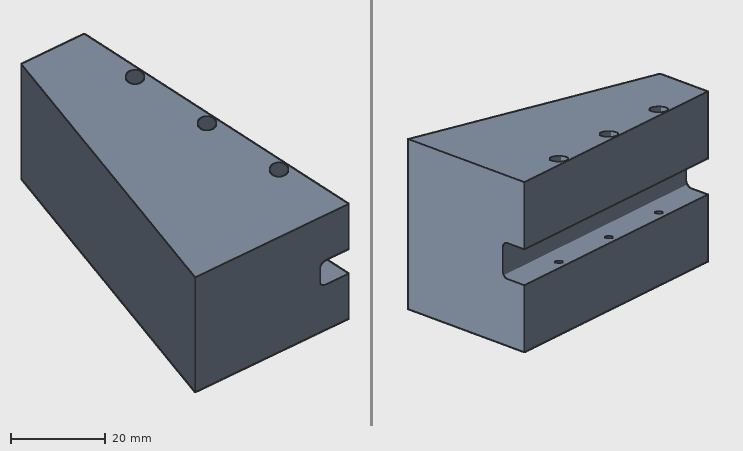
import cadquery as cq
import math

length = 69.85
depth_large = 38.55
height = 38.1
slope_angle = 18.0

slot_width = 8.0
slot_depth = 6.85
slot_corner_radius = 1.55

hole_count = 3
hole_spacing = 20.0
hole_inset = 2.3
clearance_diameter = 4.0
pilot_diameter = 1.7

slope_gradient = math.tan(math.radians(slope_angle))
slope_cos = math.cos(math.radians(slope_angle))
depth_small = depth_large - length * slope_gradient
slot_floor_z = (height - slot_width) / 2


def make_wedge():
    outline = [(0, 0), (length, 0), (length, depth_large), (0, depth_small)]
    return cq.Workplane("XY").polyline(outline).close().extrude(height)


def make_slot():
    """Bar parallel to the sloped face, long enough to leave through both ends."""
    bar_length = 3 * length
    slot = (
        cq.Workplane("XY")
        .box(bar_length, 2 * slot_depth, slot_width)
        .edges("|X and <Y")
        .fillet(slot_corner_radius)
    )
    return slot.rotate((0, 0, 0), (0, 0, 1), slope_angle).translate((0, depth_small, height / 2))


def hole_centers():
    """Points on a line parallel to the sloped face, set in from it by hole_inset."""
    centers = []
    for index in range(hole_count):
        offset_along_slope = (index - (hole_count - 1) / 2) * hole_spacing
        x = length / 2 + offset_along_slope * slope_cos
        slope_y = depth_small + x * slope_gradient
        centers.append((x, slope_y - hole_inset / slope_cos))
    return centers


def make_holes():
    """Clearance holes from the top through to the slot, pilot holes on to the bottom."""
    centers = hole_centers()
    pilots = cq.Workplane("XY").pushPoints(centers).circle(pilot_diameter / 2).extrude(height)
    clearances = (
        cq.Workplane("XY")
        .workplane(offset=slot_floor_z)
        .pushPoints(centers)
        .circle(clearance_diameter / 2)
        .extrude(height - slot_floor_z)
    )
    return pilots.union(clearances)


result = make_wedge().cut(make_slot()).cut(make_holes())